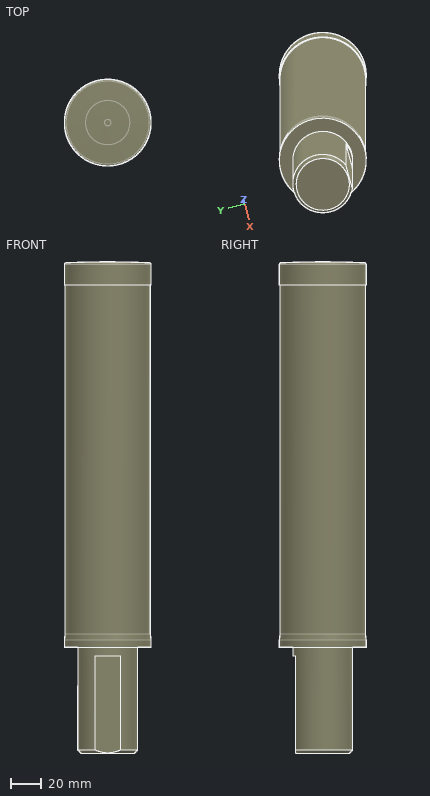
import cadquery as cq
import math

total_length = 327.0
rim_diameter = 58.0
barrel_diameter = 57.0

shank_diameter = 40.0
shank_length = 70.5
shank_chamfer = 2.3
flat_width = 16.7
flat_length = 64.7

flange_height = 5.0
flange_taper_height = 4.0

cap_height = 15.5
cap_edge_radius = 1.3
crown_center_diameter = 4.3
crown_ring_diameter = 29.5
crown_ring_drop = 0.15
crown_edge_drop = 0.5

rim_radius = rim_diameter / 2
barrel_radius = barrel_diameter / 2
shank_radius = shank_diameter / 2


def make_barrel():
    """Revolve the flanged barrel and its crowned cap as one solid."""
    flange_top = shank_length + flange_height
    taper_top = flange_top + flange_taper_height
    cap_bottom = total_length - cap_height
    crown_edge = total_length - crown_edge_drop
    arc_offset = cap_edge_radius * math.sqrt(0.5)
    arc_center_radius = rim_radius - cap_edge_radius
    arc_center_height = crown_edge - cap_edge_radius

    profile = (
        cq.Workplane("XZ")
        .moveTo(0, shank_length)
        .lineTo(rim_radius, shank_length)
        .lineTo(rim_radius, flange_top)
        .lineTo(barrel_radius, taper_top)
        .lineTo(barrel_radius, cap_bottom)
        .lineTo(rim_radius, cap_bottom)
        .lineTo(rim_radius, arc_center_height)
        .threePointArc(
            (arc_center_radius + arc_offset, arc_center_height + arc_offset),
            (arc_center_radius, crown_edge),
        )
        .lineTo(crown_ring_diameter / 2, total_length - crown_ring_drop)
        .lineTo(crown_center_diameter / 2, total_length)
        .lineTo(0, total_length)
        .close()
    )
    return profile.revolve(360, (0, 0, 0), (0, 1, 0))


def make_shank():
    """Make the chamfered shank with a flat on its -Y side."""
    shank = cq.Workplane("XY").circle(shank_radius).extrude(shank_length)
    shank = shank.faces("<Z").chamfer(shank_chamfer)

    flat_distance = math.sqrt(shank_radius**2 - (flat_width / 2) ** 2)
    flat_cutter = cq.Workplane("XY").box(
        shank_diameter, shank_radius, flat_length, centered=(True, False, False)
    ).translate((0, -flat_distance - shank_radius, 0))
    return shank.cut(flat_cutter)


barrel = make_barrel()
shank = make_shank()

result = cq.Compound.makeCompound([barrel.val(), shank.val()])